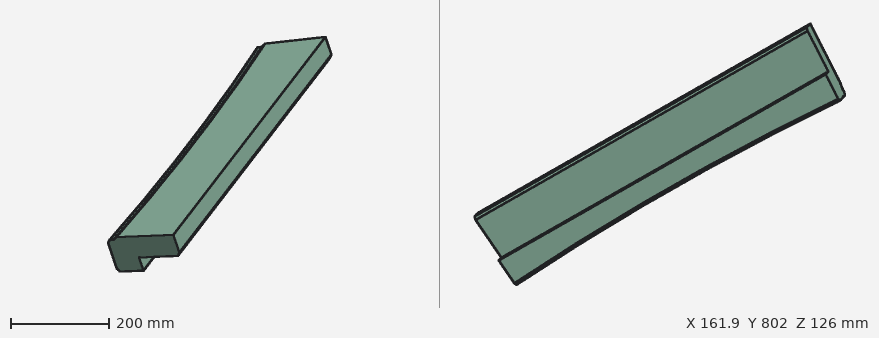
import cadquery as cq
import math

length = 802.0
depth = 161.0
height = 81.0
plate_thickness = 50.0
lip_depth = 62.0
tilt = 18.5
end_angle = 3.8

edge_run = 6.0
lower_edge_rise = 8.0
upper_edge_rise = 6.5
ledge_drop = 6.5
ledge_back = 15.0
slope_back = 25.0
back_bevel_run = 6.5
back_bevel_rise = 8.0

axis_to_back = length / 2 / math.tan(math.radians(end_angle))
axis_x = depth - axis_to_back
front_radius = (axis_to_back - depth) / math.cos(math.radians(end_angle))
overlap = 40.0


def curved_front_body():
    """Sweep the front edge profile around the arc axis, running past the back."""
    ledge_z = height - ledge_drop
    outline = [
        (edge_run, 0),
        (depth + overlap, 0),
        (depth + overlap, height),
        (slope_back, height),
        (ledge_back, ledge_z),
        (edge_run, ledge_z),
        (0, ledge_z - upper_edge_rise),
        (0, lower_edge_rise),
    ]
    points = [(front_radius + x, z) for x, z in outline]
    return (
        cq.Workplane("XZ")
        .polyline(points)
        .close()
        .revolve(2 * end_angle, (0, 0), (0, 1))
        .rotate((0, 0, 0), (0, 0, 1), -end_angle)
        .translate((axis_x, 0, 0))
    )


def straight_back_body():
    """Straight bar with the lip step and the bevelled back edge."""
    plate_z = height - plate_thickness
    outline = [
        (-overlap, 0),
        (lip_depth, 0),
        (lip_depth, plate_z),
        (depth - back_bevel_run, plate_z),
        (depth, plate_z + back_bevel_rise),
        (depth, height),
        (-overlap, height),
    ]
    return cq.Workplane("XZ").polyline(outline).close().extrude(length, both=True)


bar = straight_back_body().intersect(curved_front_body())
result = bar.rotate((0, 0, 0), (0, 1, 0), -tilt)